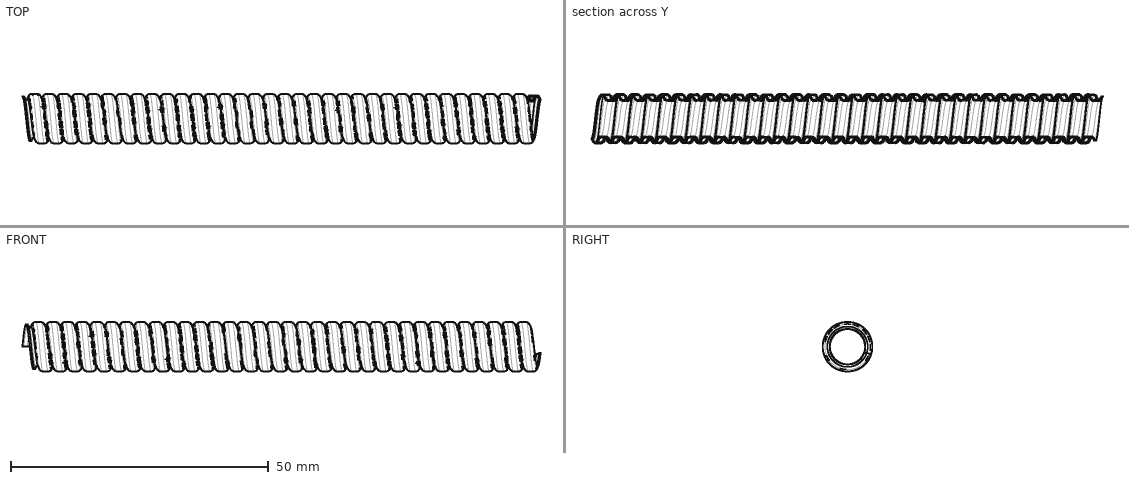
import cadquery as cq
import math

hose_length = 100.5
outer_radius = 4.8
bore_radius = 3.4

thickness = 0.3
web_flat = 1.0
channel_depth = 0.9
bend_radius = 0.7
leg_splay = 25.0
bend_angle = math.radians(90 - leg_splay)


def half_face(depth_below_outside):
    """Axial and depth positions along half of one channel face, measured from the web centre.

    Gives the end of the web flat, the middle and end of the bend, and the leg tip.
    depth_below_outside is 0 for the outside face and the thickness for the inside face.
    """
    radius = bend_radius - depth_below_outside

    def on_bend(angle):
        return web_flat / 2 + radius * math.sin(angle), bend_radius - radius * math.cos(angle)

    bend_end = on_bend(bend_angle)
    leg_run = (channel_depth - bend_end[1]) / math.tan(bend_angle)
    tip = (bend_end[0] + leg_run, channel_depth)
    return on_bend(0), on_bend(bend_angle / 2), bend_end, tip


channel_width = 2 * half_face(0)[-1][0]

whole_turns = 33
last_turn_angle = 342.0
strip_offset = 1.0
turns = whole_turns + last_turn_angle / 360
wound_length = hose_length - strip_offset - channel_width
pitch = wound_length / turns


def channel_section(web_radius, outward):
    """Closed channel outline in the XZ plane: X is the radius, Z runs along the hose.

    The outside of the web lies at web_radius; outward is +1 if the legs point away from the
    axis and -1 if they point towards it.
    """
    def place(points, side):
        return [(web_radius + outward * depth, channel_width / 2 + side * axial) for axial, depth in points]

    near_web, near_middle, near_bend, near_tip = place(half_face(0), -1)
    far_web, far_middle, far_bend, far_tip = place(half_face(0), 1)
    near_inner_web, near_inner_middle, near_inner_bend, near_inner_tip = place(half_face(thickness), -1)
    far_inner_web, far_inner_middle, far_inner_bend, far_inner_tip = place(half_face(thickness), 1)
    return (
        cq.Workplane("XZ")
        .moveTo(*near_tip)
        .lineTo(*near_bend)
        .threePointArc(near_middle, near_web)
        .lineTo(*far_web)
        .threePointArc(far_middle, far_bend)
        .lineTo(*far_tip)
        .lineTo(*far_inner_tip)
        .lineTo(*far_inner_bend)
        .threePointArc(far_inner_middle, far_inner_web)
        .lineTo(*near_inner_web)
        .threePointArc(near_inner_middle, near_inner_bend)
        .lineTo(*near_inner_tip)
        .close()
    )


def wound_strip(web_radius, outward, start):
    """One channel strip wound along a helix, its near edge starting at X = start."""
    helix = cq.Workplane(cq.Wire.makeHelix(pitch, wound_length, web_radius))
    along_z = channel_section(web_radius, outward).sweep(helix, isFrenet=True)
    along_x = along_z.rotate((0, 0, 0), (1, 1, 1), 120)
    return along_x.translate((start, 0, 0))


inner_strip = wound_strip(bore_radius, 1, 0)
outer_strip = wound_strip(outer_radius, -1, strip_offset)

result = cq.Compound.makeCompound([inner_strip.val(), outer_strip.val()])